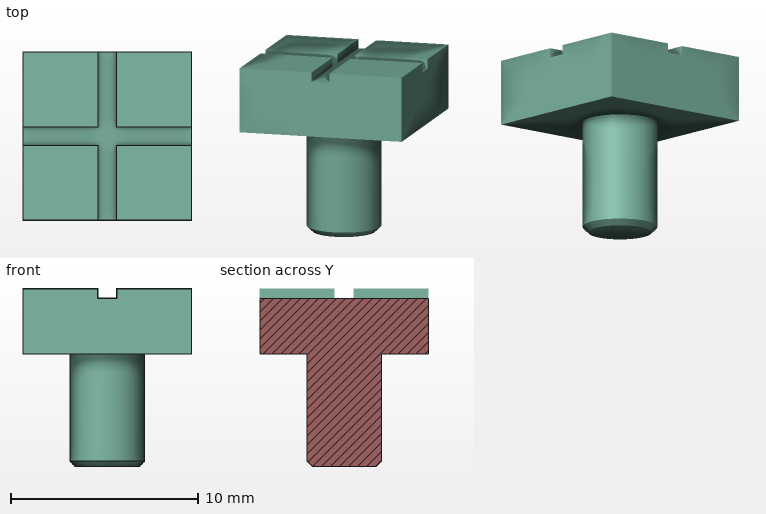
import cadquery as cq

total_height = 9.5
head_width = 9.0
head_height = 3.5
shank_diameter = 4.0
tip_chamfer = 0.3
groove_width = 1.0
groove_depth = 0.5

shank_length = total_height - head_height


def make_shank():
    """Round shank standing on Z = 0, chamfered at its free end."""
    shank = cq.Workplane("XY").circle(shank_diameter / 2).extrude(shank_length)
    return shank.faces("<Z").chamfer(tip_chamfer)


def make_head():
    """Square head resting on top of the shank."""
    return (
        cq.Workplane("XY", origin=(0, 0, shank_length))
        .rect(head_width, head_width)
        .extrude(head_height)
    )


def make_groove(size_x, size_y):
    """Cutter for one straight groove, sunk from the top of the head."""
    return (
        cq.Workplane("XY", origin=(0, 0, total_height))
        .rect(size_x, size_y)
        .extrude(-groove_depth)
    )


result = make_shank().union(make_head())

result = result.cut(make_groove(head_width, groove_width))
result = result.cut(make_groove(groove_width, head_width))